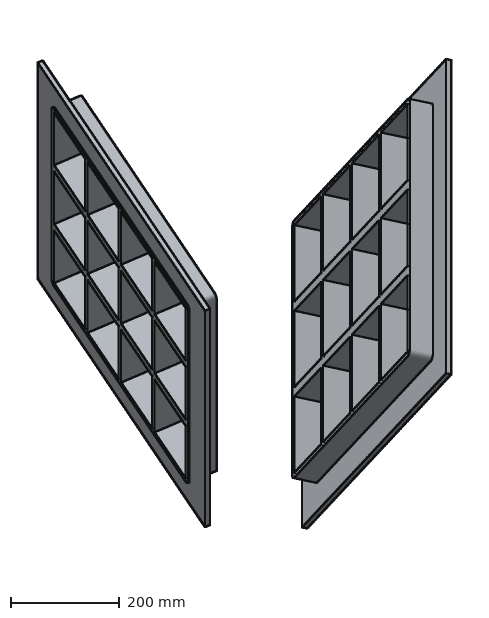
import cadquery as cq

flange_width = 652.0
flange_height = 658.5
flange_thickness = 10.5
flange_margin = 60.0

total_depth = 60.0
front_lip = 3.0
corner_radius = 10.0
grid_width = flange_width - 2 * flange_margin
grid_height = flange_height - 2 * flange_margin

columns = 4
rows = 3
frame_wall = 10.0
upright_bar = 10.0
cross_bar = 20.0
opening_width = (grid_width - 2 * frame_wall - (columns - 1) * upright_bar) / columns
opening_height = (grid_height - 2 * frame_wall - (rows - 1) * cross_bar) / rows


def make_flange():
    """Rectangular plate set back from the front of the grid by the lip."""
    plate = cq.Workplane("XY").box(
        flange_width, flange_thickness, flange_height, centered=(True, False, True)
    )
    return plate.translate((0, front_lip, 0))


def make_grid_block():
    """Solid block with rounded corners, front face at Y = 0."""
    block = cq.Workplane("XY").box(
        grid_width, total_depth, grid_height, centered=(True, False, True)
    )
    return block.edges("|Y").fillet(corner_radius)


def make_openings():
    """Regular array of rectangular openings through the full depth."""
    return (
        cq.Workplane("XZ")
        .rarray(opening_width + upright_bar, opening_height + cross_bar, columns, rows)
        .rect(opening_width, opening_height)
        .extrude(-total_depth)
    )


result = make_flange().union(make_grid_block()).cut(make_openings())